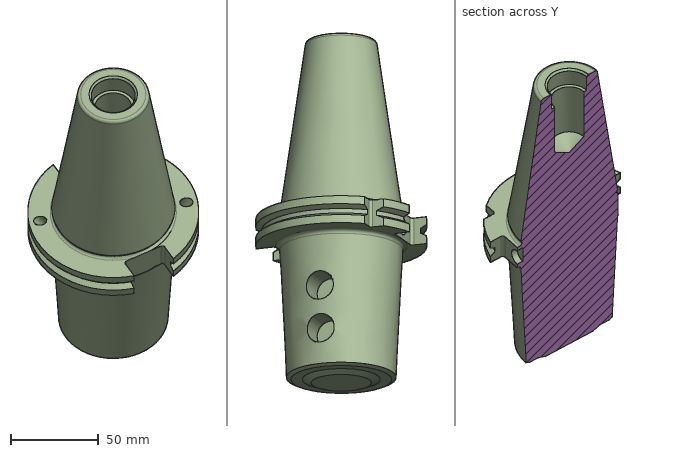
import cadquery as cq
import math


total_height = 201.8

gauge_radius = 35.1
shank_height = 101.7
taper_ratio = 7 / 24
shank_top_radius = gauge_radius - shank_height * taper_ratio / 2
shank_edge_radius = 2.0

relief_radius = 34.3
relief_fillet = 1.6

flange_diameter = 97.5
flange_radius = flange_diameter / 2
flange_top = -3.2
flange_bottom = -19.2
flange_thickness = flange_top - flange_bottom
flange_middle = (flange_top + flange_bottom) / 2
groove_floor_radius = 45.4
groove_floor_width = 2.6
groove_flank_angle = 30
groove_flank_width = (flange_radius - groove_floor_radius) * math.tan(math.radians(groove_flank_angle))
groove_mouth_width = groove_floor_width + 2 * groove_flank_width

body_top_radius = 35.1
body_top_fillet = 2.5
body_end_radius = 31.3
body_end = -96.8
end_face_radius = 28.6
end_face = -98.0
nose_base_radius = 22.2
nose_tip_radius = 17.1
nose_tip = shank_height - total_height

screw_radius = 8.3
screw_spacing = 25.0
lower_screw_height = 24.0
screw_floor_distance = 16.1

slot_width = 25.6
slot_floor_left = 37.7
slot_floor_right = 35.5
notch_x = -29.9
notch_y = 30.3
cutter_corner_radius = 1.6

slot_hole_radius = 5.0
slot_hole_depth = 4.0

coolant_pitch_radius = 42.2
coolant_angles = (70, 250)
coolant_tilt = 30
coolant_radius = 3.2
coolant_depth = 16.1
coolant_lead = 3.0

bore_mouth_radius = 13.7
bore_radius = 12.5
bore_chamfer = bore_mouth_radius - bore_radius
bore_depth = 11.5
drill_radius = 10.5
drill_depth = 46.5
drill_tip_angle = 118


def make_blank():
    """Revolve the shank, flange and body as one solid."""
    profile = (
        cq.Workplane("XZ")
        .moveTo(0, shank_height)
        .lineTo(shank_top_radius, shank_height)
        .lineTo(gauge_radius, 0)
        .lineTo(relief_radius, flange_top + relief_fillet)
        .radiusArc((relief_radius + relief_fillet, flange_top), -relief_fillet)
        .lineTo(flange_radius, flange_top)
        .lineTo(flange_radius, flange_middle + groove_mouth_width / 2)
        .lineTo(groove_floor_radius, flange_middle + groove_floor_width / 2)
        .lineTo(groove_floor_radius, flange_middle - groove_floor_width / 2)
        .lineTo(flange_radius, flange_middle - groove_mouth_width / 2)
        .lineTo(flange_radius, flange_bottom)
        .lineTo(body_top_radius + body_top_fillet, flange_bottom)
        .radiusArc((body_top_radius, flange_bottom - body_top_fillet), -body_top_fillet)
        .lineTo(body_end_radius, body_end)
        .lineTo(end_face_radius, end_face)
        .lineTo(nose_base_radius, end_face)
        .lineTo(nose_tip_radius, nose_tip)
        .lineTo(0, nose_tip)
        .close()
    )
    blank = profile.revolve(360, (0, 0, 0), (0, 1, 0))
    return blank.faces(">Z").edges().fillet(shank_edge_radius)


def make_slot(side, floor_distance):
    """Radial drive slot, tall enough to trim the root fillets above and below the flange.

    Side is -1 for the left slot and +1 for the right one.
    """
    length = flange_radius - floor_distance + cutter_corner_radius
    center_x = side * (floor_distance + length / 2)
    height = flange_thickness + 2 * body_top_fillet
    floor_edges = "<X" if side > 0 else ">X"
    return (
        cq.Workplane("XY", origin=(center_x, 0, flange_middle))
        .box(length, slot_width, height)
        .edges("|Z")
        .edges(floor_edges)
        .fillet(cutter_corner_radius)
    )


def make_notch():
    """Square step cut out of the flange rim through its full thickness."""
    return (
        cq.Workplane("XY", origin=(notch_x, notch_y, flange_bottom))
        .rect(-flange_radius, flange_radius, centered=False)
        .extrude(flange_thickness)
        .edges("|Z and >X and <Y")
        .fillet(cutter_corner_radius)
    )


def make_slot_hole():
    """Radial blind hole in the floor of the left drive slot."""
    start = cq.Vector(-slot_floor_left, 0, flange_middle)
    return cq.Solid.makeCylinder(slot_hole_radius, slot_hole_depth, start, cq.Vector(1, 0, 0))


def make_screw_hole(height):
    """Radial blind hole running from its floor out through the +Y side of the body."""
    floor = cq.Vector(0, screw_floor_distance, height)
    length = body_top_radius - screw_floor_distance
    return cq.Solid.makeCylinder(screw_radius, length, floor, cq.Vector(0, 1, 0))


def make_coolant_hole(angle):
    """Hole from the flange top that leans towards the tool axis as it goes down."""
    tilt = math.radians(coolant_tilt)
    direction = cq.Vector(-math.sin(tilt), 0, -math.cos(tilt))
    entry = cq.Vector(coolant_pitch_radius, 0, flange_top)
    start = entry - direction * coolant_lead
    hole = cq.Solid.makeCylinder(coolant_radius, coolant_depth + coolant_lead, start, direction)
    return cq.Workplane(hole).rotate((0, 0, 0), (0, 0, 1), angle)


def make_bore():
    """Chamfered counterbore in the shank end with a pointed drill hole below it."""
    top = cq.Vector(0, 0, shank_height)
    down = cq.Vector(0, 0, -1)
    chamfer = cq.Solid.makeCone(bore_mouth_radius, bore_radius, bore_chamfer, top, down)
    counterbore = cq.Solid.makeCylinder(bore_radius, bore_depth, top, down)
    drilling = cq.Solid.makeCylinder(drill_radius, drill_depth, top, down)
    tip_height = drill_radius / math.tan(math.radians(drill_tip_angle / 2))
    tip = cq.Solid.makeCone(drill_radius, 0, tip_height, top + down * drill_depth, down)
    bore = cq.Workplane(chamfer)
    for section in (counterbore, drilling, tip):
        bore = bore.union(cq.Workplane(section))
    return bore


result = (
    make_blank()
    .cut(make_slot(-1, slot_floor_left))
    .cut(make_slot(1, slot_floor_right))
    .cut(make_notch())
    .cut(cq.Workplane(make_slot_hole()))
    .cut(make_bore())
)
for coolant_angle in coolant_angles:
    result = result.cut(make_coolant_hole(coolant_angle))

lower_screw_z = nose_tip + lower_screw_height
for screw_z in (lower_screw_z, lower_screw_z + screw_spacing):
    result = result.cut(cq.Workplane(make_screw_hole(screw_z)))